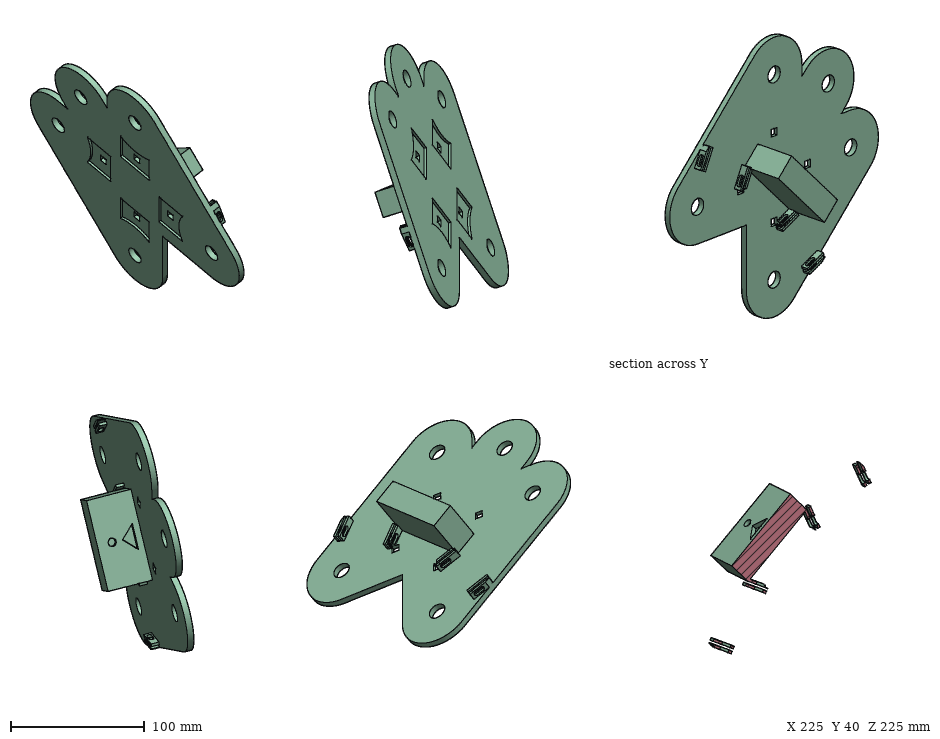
import cadquery as cq
import math

diagonal_angle = 45.0

plate_thickness = 5.0
lobe_radius = 30.0
bolt_circle_radius = 82.5
bolt_hole_diameter = 13.2
diagonal_lobe_distance = 79.3

pocket_width = 31.0
pocket_depth = 2.0
pocket_inner_distance = 26.0
pocket_arc_radius = 35.0
window_size = 6.0
window_distance = 36.0

block_length = 70.0
block_width = 20.0
overall_depth = 40.0
round_recess_diameter = 6.2
round_recess_height = 28.3
recess_depth = 4.0
triangle_base = 20.0
triangle_height = 10.0
triangle_base_height = 10.0

wall_height = 6.15
wall_thickness = 2.2
wall_pitch = 4.0
wall_length = 19.0
wall_tilt = 25.0
slot_length = 9.0
slot_height = 3.7
slot_end_margin = 2.5
wall_overlap = 0.5
inner_pair_corner = (34.9, 20.2)
outer_pair_corner = (77.9, 49.1)


def xz_prism(outline, y_start, y_end):
    """Extrude a closed XZ outline from y_start to y_end."""
    return outline.extrude(-(y_end - y_start)).translate((0, y_start, 0))


def xz():
    """Fresh sketch plane with local axes along X and Z."""
    return cq.Workplane("XZ")


def hull_of_lobes(center_a, center_b):
    """Stadium joining two lobe centres, from the front to the back of the plate."""
    dx = center_b[0] - center_a[0]
    dz = center_b[1] - center_a[1]
    middle = ((center_a[0] + center_b[0]) / 2, (center_a[1] + center_b[1]) / 2)
    outline = (
        xz()
        .center(*middle)
        .slot2D(math.hypot(dx, dz) + 2 * lobe_radius, 2 * lobe_radius, math.degrees(math.atan2(dz, dx)))
    )
    return xz_prism(outline, 0, plate_thickness)


def make_plate():
    """Two triangular wings with round corners, meeting at the centre, and one diagonal lobe."""
    right = (bolt_circle_radius, 0)
    top = (0, bolt_circle_radius)
    left = (-bolt_circle_radius, 0)
    bottom = (0, -bolt_circle_radius)
    lobe_offset = diagonal_lobe_distance / math.sqrt(2)
    diagonal_lobe = (-lobe_offset, lobe_offset)
    center = (0, 0)
    plate = hull_of_lobes(center, diagonal_lobe)
    for first, second in ((right, top), (left, bottom)):
        plate = plate.union(hull_of_lobes(first, second))
        plate = plate.union(hull_of_lobes(center, first)).union(hull_of_lobes(center, second))
        core = xz().polyline([center, first, second]).close()
        plate = plate.union(xz_prism(core, 0, plate_thickness))
    return plate.clean()


def bolt_holes():
    """Cutter for the five bolt holes, all on one bolt circle."""
    hole_angles = (0, 90, 135, 180, 270)
    centers = [
        (
            bolt_circle_radius * math.cos(math.radians(angle)),
            bolt_circle_radius * math.sin(math.radians(angle)),
        )
        for angle in hole_angles
    ]
    return xz_prism(xz().pushPoints(centers).circle(bolt_hole_diameter / 2), 0, plate_thickness)


def pocket(angle):
    """Pocket with an outer arc concentric with its bolt hole, plus its through window."""
    half = pocket_width / 2
    arc_middle = bolt_circle_radius - pocket_arc_radius
    arc_end = bolt_circle_radius - math.sqrt(pocket_arc_radius**2 - half**2)
    outline = (
        xz()
        .moveTo(pocket_inner_distance, -half)
        .lineTo(arc_end, -half)
        .threePointArc((arc_middle, 0), (arc_end, half))
        .lineTo(pocket_inner_distance, half)
        .close()
    )
    window = xz().center(window_distance, 0).rect(window_size, window_size)
    cutter = xz_prism(outline, 0, pocket_depth).union(xz_prism(window, 0, plate_thickness + wall_height))
    return cutter.rotate((0, 0, 0), (0, 1, 0), -angle)


def make_block():
    """Rectangular block with a round and a triangular blind recess in its upper-left long face.

    Modelled with its length along X, then turned onto the diagonal.
    """
    block = cq.Workplane("XY").box(block_length, overall_depth - plate_thickness, block_width)
    block = block.translate((0, (overall_depth + plate_thickness) / 2, 0))
    face_origin = (0, 0, block_width / 2)
    round_recess = (
        cq.Workplane("XY", origin=face_origin)
        .center(0, round_recess_height)
        .circle(round_recess_diameter / 2)
    )
    triangle_corners = [
        (-triangle_base / 2, triangle_base_height),
        (triangle_base / 2, triangle_base_height),
        (0, triangle_base_height + triangle_height),
    ]
    triangle = cq.Workplane("XY", origin=face_origin).polyline(triangle_corners).close()
    block = block.cut(round_recess.extrude(-recess_depth))
    block = block.cut(triangle.extrude(-recess_depth))
    return block.rotate((0, 0, 0), (0, 1, 0), -diagonal_angle)


def slotted_wall(corner):
    """Wall with a through slot near its lower end; corner is its upper outer corner (X, Z)."""
    base = plate_thickness - wall_overlap
    top = plate_thickness + wall_height
    footprint = xz().center(wall_length / 2, -wall_thickness / 2).rect(wall_length, wall_thickness)
    wall = xz_prism(footprint, base, top)
    slot = (
        cq.Workplane("XY")
        .center(wall_length - slot_end_margin - slot_length / 2, plate_thickness + wall_height / 2)
        .slot2D(slot_length, slot_height)
        .extrude(wall_thickness, both=True)
    )
    wall = wall.cut(slot).rotate((0, 0, 0), (0, 1, 0), 90 - wall_tilt)
    return wall.translate((corner[0], 0, corner[1]))


def wall_pair(corner):
    """Two parallel walls; corner is the upper outer corner of the one farther out."""
    tilt = math.radians(wall_tilt)
    second_corner = (corner[0] - wall_pitch * math.cos(tilt), corner[1] - wall_pitch * math.sin(tilt))
    return slotted_wall(corner).union(slotted_wall(second_corner))


def make_walls():
    """Wall pairs trimmed flush with the slanted plate edge, plus their mirror images about X = -Z."""
    walls = wall_pair(inner_pair_corner).union(wall_pair(outer_pair_corner))
    edge_distance = bolt_circle_radius / math.sqrt(2) + lobe_radius
    trim_span = 4 * edge_distance
    trim = cq.Workplane("XY").box(trim_span, trim_span, 2 * edge_distance)
    walls = walls.intersect(trim.rotate((0, 0, 0), (0, 1, 0), diagonal_angle))
    return walls.union(walls.mirror((1, 0, 1)))


result = make_plate().cut(bolt_holes()).union(make_block()).union(make_walls())
for quarter in range(4):
    result = result.cut(pocket(90 * quarter))
result = result.clean()